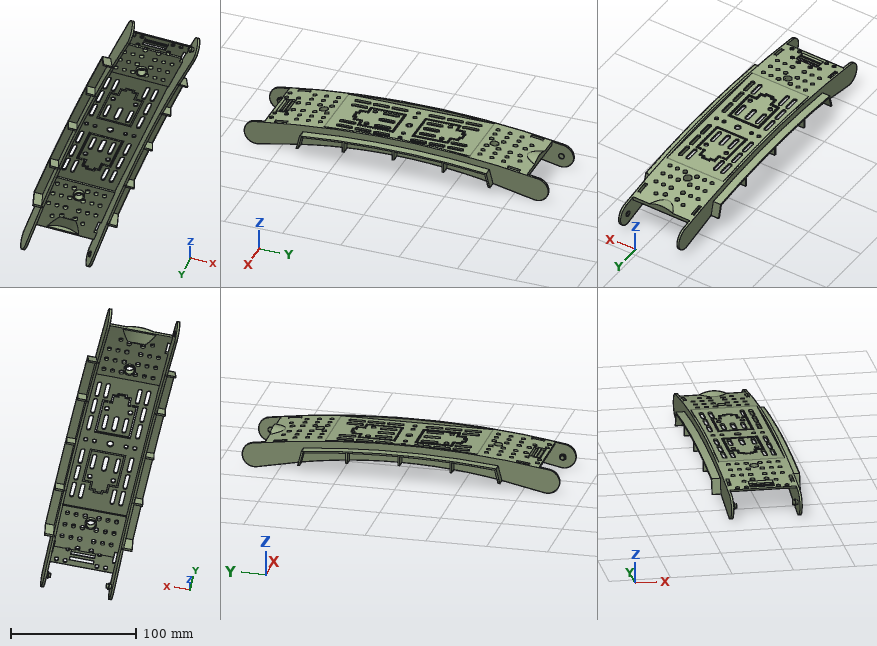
import cadquery as cq
import math

TOTAL_WIDTH = 71.5
TOTAL_LENGTH = 261.08
TOTAL_HEIGHT = 30.15

WALL_OUTER_X = 28.75
WALL_THICKNESS = 1.9
WALL_INNER_X = WALL_OUTER_X - WALL_THICKNESS
WALL_MIDDLE_X = WALL_OUTER_X - WALL_THICKNESS / 2
WALL_DEPTH = 15.0
BOTTOM_ARC_RADIUS = 455.0
BOTTOM_ARC_HALF = 83.0
END_RADIUS = 10.2

END_Y = TOTAL_LENGTH / 2 - END_RADIUS
END_Z = END_RADIUS - TOTAL_HEIGHT
TOP_RADIUS = (END_Y**2 + END_Z**2 - END_RADIUS**2) / (-2 * (END_Z + END_RADIUS))

DECK_THICKNESS = 1.5
DECK_END_PLUS = 112.0
DECK_END_MINUS = 113.5
SEAT_HALF_LENGTH = 62.5
SEAT_Z = math.sqrt(TOP_RADIUS**2 - SEAT_HALF_LENGTH**2) - TOP_RADIUS
PAD_THICKNESS = 3.2
PAD_END_MINUS = 99.0

SHELF_DROP = 5.9
SHELF_THICKNESS = 1.4
RIB_THICKNESS = 1.6
FLANGE_HALF_LENGTH = 83.2
END_RIB_TILT_DEGREES = 14.0
MIDDLE_RIB_Y = (-42.8, 0.0, 42.8)

SMALL_HOLE = 3.2
MEDIUM_HOLE = 3.7
CENTRE_HOLE = 5.0
LARGE_HOLE = 7.0
LARGE_HOLE_Y = 73.3
SLEEVE_RADIUS = 4.6
SLEEVE_DEPTH = 5.0
OUTER_COLUMN = 20.1
MIDDLE_COLUMN = 13.0
INNER_COLUMN = 5.65
HOLE_ROWS = (68.5, 78.8, 89.0)
MIDDLE_EXTRA_ROW = 100.1
INNER_EXTRA_ROW = 97.4
END_ROW = 110.4

SLOT_WIDTH = 3.2
SLOT_LENGTH = 13.6
SLOT_PITCH = 15.9
WALL_SLOT_WIDTH = 2.4
WALL_SLOT_LENGTH = 10.4
WALL_SLOT_Y = 99.9

TONGUE_GROOVE = 1.3
TONGUE_HALF_WIDTH = 14.5
TONGUE_NEAR_Y = 8.2
TONGUE_SHOULDER_Y = 38.8
NECK_HALF_WIDTH = 7.6
NECK_END_Y = 45.3
TIP_HALF_WIDTH = 3.8
TIP_END_Y = 47.2
BRIDGE_X = 9.4
BRIDGE_WIDTH = 1.6
BLIND_GROOVE_DEPTH = 0.8
TONGUE_SLOT_Y = 19.0
TONGUE_SLOT_X_PLUS = 8.25
TONGUE_SLOT_X_MINUS = 9.7
CENTRE_SLOT_WIDTH = 3.7
TONGUE_HOLE_X = 9.6
TONGUE_HOLE_Y_PLUS = 31.6
TONGUE_HOLE_Y_MINUS = 33.0

HOOD_START_Y = 101.9
HOOD_RISE = 2.8
HOOD_HALF_WIDTH = 11.2
HOOD_SHELL = 1.5
HOOD_END_WALL = 1.2

TIE_HALF_WIDTH = 9.8
TIE_INNER_Y = -100.8
TIE_OUTER_Y = -110.4
TIE_RAMP = 1.9
TIE_BAR_Y = -105.25
TIE_BAR_WIDTH = 2.2
TIE_BAR_DROP = 0.4

PIN_RADIUS = 1.8
PIN_LENGTH = 4.0
COLLAR_RADIUS = 2.7
COLLAR_OFFSET = 2.1
COLLAR_WIDTH = 0.3
BOSS_RADIUS = 2.3
BOSS_HEIGHT = 0.8


def top_z(y, drop=0.0):
    """Height of the arc lying `drop` below the top edge of the walls."""
    return math.sqrt((TOP_RADIUS - drop) ** 2 - y**2) - TOP_RADIUS


def bottom_z(y):
    """Height of the arc along the bottom edge of the walls."""
    return math.sqrt(BOTTOM_ARC_RADIUS**2 - y**2) - BOTTOM_ARC_RADIUS - WALL_DEPTH


def extrude_yz(sketch, x_from, x_to):
    """Extrude a closed YZ outline between two X positions."""
    return sketch.extrude(x_to - x_from).translate((x_from, 0, 0))


def on_both_sides(body):
    """Join a body with its mirror image across X = 0."""
    return body.union(body.mirror("YZ"))


def wall_outline():
    """Wall outline: top arc, round ends and a bottom arc with straight tangents to the ends."""
    top_angle = math.atan2(END_Z + TOP_RADIUS, END_Y)
    top_y = END_Y + END_RADIUS * math.cos(top_angle)
    top_end_z = END_Z + END_RADIUS * math.sin(top_angle)
    corner_z = bottom_z(BOTTOM_ARC_HALF)
    run_y = END_Y - BOTTOM_ARC_HALF
    run_z = END_Z - corner_z
    distance = math.hypot(run_y, run_z)
    direction = math.atan2(run_z, run_y) - math.asin(END_RADIUS / distance)
    tangent_length = math.sqrt(distance**2 - END_RADIUS**2)
    low_y = BOTTOM_ARC_HALF + tangent_length * math.cos(direction)
    low_z = corner_z + tangent_length * math.sin(direction)
    return (
        cq.Workplane("YZ")
        .moveTo(-top_y, top_end_z)
        .threePointArc((0, 0), (top_y, top_end_z))
        .threePointArc((END_Y + END_RADIUS, END_Z), (low_y, low_z))
        .lineTo(BOTTOM_ARC_HALF, corner_z)
        .threePointArc((0, -WALL_DEPTH), (-BOTTOM_ARC_HALF, corner_z))
        .lineTo(-low_y, low_z)
        .threePointArc((-END_Y - END_RADIUS, END_Z), (-top_y, top_end_z))
        .close()
    )


def arc_band(y_from, y_to, upper_drop, lower_drop):
    """Outline between two arcs concentric with the top edge, with upright ends."""
    y_middle = (y_from + y_to) / 2
    return (
        cq.Workplane("YZ")
        .moveTo(y_from, top_z(y_from, upper_drop))
        .threePointArc((y_middle, top_z(y_middle, upper_drop)), (y_to, top_z(y_to, upper_drop)))
        .lineTo(y_to, top_z(y_to, lower_drop))
        .threePointArc((y_middle, top_z(y_middle, lower_drop)), (y_from, top_z(y_from, lower_drop)))
        .close()
    )


def flange():
    """Curved shelf outside the +X wall, carried by two sloping end ribs and three middle ribs."""
    shelf_end = FLANGE_HALF_LENGTH - 2 * RIB_THICKNESS
    lean = math.tan(math.radians(END_RIB_TILT_DEGREES))
    foot_z = bottom_z(FLANGE_HALF_LENGTH)
    inner_foot_y = FLANGE_HALF_LENGTH - RIB_THICKNESS
    head_y = FLANGE_HALF_LENGTH - lean * (top_z(shelf_end, SHELF_DROP) - foot_z)
    inner_head_y = head_y - RIB_THICKNESS
    body = extrude_yz(
        arc_band(-head_y, head_y, SHELF_DROP, SHELF_DROP + SHELF_THICKNESS),
        WALL_MIDDLE_X,
        TOTAL_WIDTH / 2,
    )
    for side in (-1, 1):
        rib = cq.Workplane("YZ").polyline(
            [
                (side * FLANGE_HALF_LENGTH, foot_z),
                (side * head_y, top_z(head_y, SHELF_DROP)),
                (side * inner_head_y, top_z(inner_head_y, SHELF_DROP)),
                (side * inner_foot_y, bottom_z(inner_foot_y)),
            ]
        )
        body = body.union(extrude_yz(rib.close(), WALL_MIDDLE_X, TOTAL_WIDTH / 2))
    for y in MIDDLE_RIB_Y:
        top = top_z(y, SHELF_DROP + SHELF_THICKNESS / 2)
        height = top - bottom_z(y)
        rib = cq.Workplane("YZ").center(y, top - height / 2).rect(RIB_THICKNESS, height)
        body = body.union(extrude_yz(rib, WALL_MIDDLE_X, TOTAL_WIDTH / 2))
    return body


def channel_space(y_from, y_to, drop):
    """Space between the walls, from `drop` below their top edge down past their bottom edge."""
    return extrude_yz(arc_band(y_from, y_to, drop, TOTAL_HEIGHT), -WALL_INNER_X, WALL_INNER_X)


def walls_and_deck():
    """Walls and deck in one piece: a block hollowed below the deck and open beyond its ends."""
    body = extrude_yz(wall_outline(), -WALL_OUTER_X, WALL_OUTER_X)
    beyond = TOTAL_LENGTH / 2 + 1
    body = body.cut(channel_space(-beyond, -DECK_END_MINUS, -TOTAL_HEIGHT))
    body = body.cut(channel_space(DECK_END_PLUS, beyond, -TOTAL_HEIGHT))
    body = body.cut(channel_space(-DECK_END_MINUS, -PAD_END_MINUS, DECK_THICKNESS))
    body = body.cut(channel_space(-PAD_END_MINUS, -SEAT_HALF_LENGTH, PAD_THICKNESS))
    body = body.cut(channel_space(SEAT_HALF_LENGTH, DECK_END_PLUS, PAD_THICKNESS))
    above_seat = seat_box(-SEAT_Z).translate((0, 0, SEAT_Z))
    below_seat = seat_box(TOTAL_HEIGHT).translate((0, 0, SEAT_Z - DECK_THICKNESS - TOTAL_HEIGHT))
    return body.cut(above_seat).cut(below_seat)


def seat_box(height):
    """Box over the plan of the seat, standing on Z = 0."""
    return cq.Workplane("XY").box(
        2 * WALL_INNER_X, 2 * SEAT_HALF_LENGTH, height, centered=(True, True, False)
    )


def sleeve(side):
    """Round sleeve under the deck around a large hole."""
    top = top_z(LARGE_HOLE_Y, DECK_THICKNESS / 2)
    plan = cq.Workplane("XY").center(0, side * LARGE_HOLE_Y).circle(SLEEVE_RADIUS)
    return plan.extrude(-SLEEVE_DEPTH).translate((0, 0, top))


def hood_cylinder(drop):
    """Cylinder rising out of the deck towards +Y, lowered by `drop` and overlong at both ends."""
    start_z = top_z(HOOD_START_Y)
    end_z = top_z(DECK_END_PLUS) + HOOD_RISE
    tilt = math.atan2(end_z - start_z, DECK_END_PLUS - HOOD_START_Y)
    radius = (HOOD_HALF_WIDTH**2 + HOOD_RISE**2) / (2 * HOOD_RISE)
    run = 2 * (DECK_END_PLUS - HOOD_START_Y)
    along = cq.Vector(0, math.cos(tilt), math.sin(tilt))
    inward = cq.Vector(0, math.sin(tilt), -math.cos(tilt))
    origin = cq.Vector(0, HOOD_START_Y, start_z - drop) - along * run + inward * radius
    return cq.Workplane(cq.Solid.makeCylinder(radius, 2 * run, origin, along))


def hood_zone(y_end, lower_drop):
    """Block over the hood up to `y_end`, from `lower_drop` below the deck top to above the hood."""
    zone = arc_band(HOOD_START_Y - HOOD_RISE, y_end, -2 * HOOD_RISE, lower_drop)
    return extrude_yz(zone, -1.5 * HOOD_HALF_WIDTH, 1.5 * HOOD_HALF_WIDTH)


def through_cut(sketch):
    """Extrude a plan outline down through the whole deck."""
    return sketch.extrude(-TOTAL_HEIGHT)


def holes(diameter, points):
    """Round through holes of one diameter."""
    return through_cut(cq.Workplane("XY").pushPoints(points).circle(diameter / 2))


def slots(width, points):
    """Round-ended through slots running along Y."""
    return through_cut(cq.Workplane("XY").pushPoints(points).slot2D(SLOT_LENGTH, width, 90))


def end_zone_holes(side):
    """Hole pattern of one curved end of the deck."""
    small = [(x, side * y) for x in (OUTER_COLUMN, MIDDLE_COLUMN) for y in HOLE_ROWS]
    small.append((MIDDLE_COLUMN, side * MIDDLE_EXTRA_ROW))
    if side < 0:
        small += [(x, -END_ROW) for x in (OUTER_COLUMN, MIDDLE_COLUMN)]
    medium = [(INNER_COLUMN, side * y) for y in HOLE_ROWS + (INNER_EXTRA_ROW,)]
    wall_slot = through_cut(
        cq.Workplane("XY")
        .center(WALL_INNER_X - WALL_SLOT_WIDTH / 2, side * WALL_SLOT_Y)
        .rect(WALL_SLOT_WIDTH, WALL_SLOT_LENGTH)
    )
    mirrored = on_both_sides(holes(SMALL_HOLE, small).union(holes(MEDIUM_HOLE, medium)).union(wall_slot))
    return mirrored.union(holes(LARGE_HOLE, [(0, side * LARGE_HOLE_Y)]))


def seat_holes():
    """Centre row of holes and the slots on both sides of the seat."""
    row = [(OUTER_COLUMN, 0), (MIDDLE_COLUMN, 0)]
    slot_points = []
    for side in (-1, 1):
        slot_points += [(OUTER_COLUMN, side * SLOT_PITCH * step) for step in (1, 2, 3)]
        slot_points.append((MIDDLE_COLUMN, side * SLOT_PITCH * 3))
    mirrored = on_both_sides(holes(SMALL_HOLE, row).union(slots(SLOT_WIDTH, slot_points)))
    return mirrored.union(holes(CENTRE_HOLE, [(0, 0)]))


def tongue_openings(side, slot_x, hole_y):
    """Two round holes and three slots inside one tongue."""
    slot_y = side * TONGUE_SLOT_Y
    openings = holes(MEDIUM_HOLE, [(x, side * hole_y) for x in (-TONGUE_HOLE_X, TONGUE_HOLE_X)])
    openings = openings.union(slots(SLOT_WIDTH, [(-slot_x, slot_y), (slot_x, slot_y)]))
    return openings.union(slots(CENTRE_SLOT_WIDTH, [(0, slot_y)]))


def tongue_plan(side, inset, depth):
    """Tongue-shaped prism sunk from the seat: wide body, neck and tip."""
    half_width = TONGUE_HALF_WIDTH - inset
    neck = NECK_HALF_WIDTH - inset
    tip = TIP_HALF_WIDTH - inset
    near = TONGUE_NEAR_Y + inset
    shoulder = TONGUE_SHOULDER_Y - inset
    neck_end = NECK_END_Y - inset
    tip_end = TIP_END_Y - inset
    right_half = [
        (half_width, near),
        (half_width, shoulder),
        (neck, shoulder),
        (neck, neck_end),
        (tip, neck_end),
        (tip, tip_end),
    ]
    left_half = [(-x, y) for x, y in reversed(right_half)]
    points = [(x, side * y) for x, y in right_half + left_half]
    prism = cq.Workplane("XY").polyline(points).close().extrude(-depth)
    return prism.translate((0, 0, SEAT_Z))


def tongue_groove(side, depth):
    """Groove of constant width along the tongue outline."""
    return tongue_plan(side, 0, depth).cut(tongue_plan(side, TONGUE_GROOVE, depth))


def bridged_groove():
    """Groove right through the deck, interrupted by two bridges at the tongue shoulders."""
    groove = tongue_groove(1, 2 * DECK_THICKNESS)
    bridges = (
        cq.Workplane("XY")
        .pushPoints([(-BRIDGE_X, TONGUE_SHOULDER_Y), (BRIDGE_X, TONGUE_SHOULDER_Y)])
        .rect(BRIDGE_WIDTH, 4 * TONGUE_GROOVE)
    )
    return groove.cut(through_cut(bridges))


def tie_opening():
    """Opening with ramps at its inner and outer edge."""
    floor_z = top_z(TIE_OUTER_Y, DECK_THICKNESS)
    outline = cq.Workplane("YZ").polyline(
        [
            (TIE_OUTER_Y, top_z(TIE_OUTER_Y)),
            (TIE_OUTER_Y, 0),
            (TIE_INNER_Y, 0),
            (TIE_INNER_Y, top_z(TIE_INNER_Y)),
            (TIE_INNER_Y - TIE_RAMP, floor_z),
            (TIE_OUTER_Y + TIE_RAMP, floor_z),
        ]
    )
    return extrude_yz(outline.close(), -TIE_HALF_WIDTH, TIE_HALF_WIDTH)


def tie_bar():
    """Deck material kept as a bar across the tie opening, just below the deck top."""
    half = TIE_BAR_WIDTH / 2
    outline = arc_band(TIE_BAR_Y - half, TIE_BAR_Y + half, TIE_BAR_DROP, 2 * PAD_THICKNESS)
    return extrude_yz(outline, -2 * TIE_HALF_WIDTH, 2 * TIE_HALF_WIDTH)


def stud(radius, y, x_tip, x_root):
    """Round stud along X on the centre of a round wall end."""
    return extrude_yz(cq.Workplane("YZ").center(y, END_Z).circle(radius), x_tip, x_root)


def hinge_studs():
    """Collared pin at the -Y end and flat boss at the +Y end of the +X wall."""
    collar = WALL_INNER_X - COLLAR_OFFSET
    pin = stud(PIN_RADIUS, -END_Y, WALL_INNER_X - PIN_LENGTH, WALL_MIDDLE_X)
    ring = stud(COLLAR_RADIUS, -END_Y, collar - COLLAR_WIDTH / 2, collar + COLLAR_WIDTH / 2)
    boss = stud(BOSS_RADIUS, END_Y, WALL_INNER_X - BOSS_HEIGHT, WALL_MIDDLE_X)
    return pin.union(ring).union(boss)


body = walls_and_deck()
body = body.union(hood_cylinder(0).intersect(hood_zone(DECK_END_PLUS, DECK_THICKNESS)))
hood_hollow = hood_zone(DECK_END_PLUS - HOOD_END_WALL, 2 * PAD_THICKNESS)
body = body.cut(hood_cylinder(HOOD_SHELL).intersect(hood_hollow))
for end in (-1, 1):
    body = body.union(sleeve(end)).cut(end_zone_holes(end))
body = body.cut(seat_holes())
body = body.cut(tongue_openings(1, TONGUE_SLOT_X_PLUS, TONGUE_HOLE_Y_PLUS))
body = body.cut(tongue_openings(-1, TONGUE_SLOT_X_MINUS, TONGUE_HOLE_Y_MINUS))
body = body.cut(bridged_groove())
body = body.cut(tongue_groove(-1, BLIND_GROOVE_DEPTH))
body = body.cut(tie_opening().cut(tie_bar()))

result = body.union(on_both_sides(flange().union(hinge_studs())))